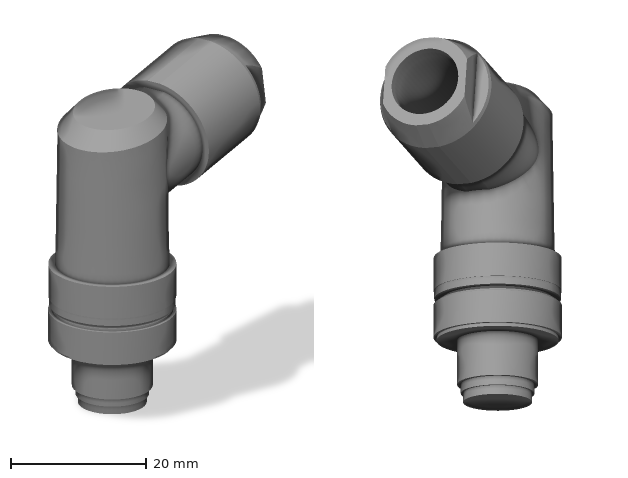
import cadquery as cq
import math

core_radius = 5.1
core_top = 1.35
insert_radius = 5.45
insert_top = 2.7
sleeve_radius = 6.0
sleeve_top = 9.4
hub_radius = 9.05
rim_radius = 19.0 / 2
rim_bottom = 9.9
rim_top = 14.75
coupling_top = 15.15
seal_bottom_radius = 8.4
seal_top_radius = 8.2
seal_top = 15.75
collar_step_radius = 9.4
collar_step_top = 16.95
collar_radius = 9.5
collar_top = 22.0

tilt = 10
post_bottom_radius = 8.5
post_draft = 0.9
chamfer_bottom_height = 44.15
top_face_radius = 6.1
top_face_height = 46.4
top_face_offset = 0.45
arm_axis_height = 36.5
arm_radius = 7.65
arm_flat_width = 3.55

nut_start = 12.55
nut_shoulder = 26.15
nut_end = 30.75
nut_radius = 8.8
nut_flat_width = 2.2
nut_end_radius = 7.1
nut_bore_radius = 5.25
wrench_flat_start = nut_shoulder + 0.6
wrench_half_width = 6.45


def disc(radius, bottom, top):
    """Upright cylinder on the Z axis."""
    return cq.Workplane("XY").workplane(offset=bottom).circle(radius).extrude(top - bottom)


def cone(bottom_radius, top_radius, bottom, top):
    """Upright truncated cone on the Z axis."""
    return cq.Workplane(cq.Solid.makeCone(bottom_radius, top_radius, top - bottom, cq.Vector(0, 0, bottom)))


def arm_plane(distance):
    """Plane square to the arm axis; its local X is the part's X."""
    angle = math.radians(tilt)
    direction = cq.Vector(0, math.cos(angle), math.sin(angle))
    origin = cq.Vector(0, 0, arm_axis_height) + direction * distance
    return cq.Workplane(cq.Plane(origin, xDir=(1, 0, 0), normal=direction))


def flatted_circle(plane, radius, flat_width):
    """Circle cut by two flats of the given width, above and below its centre."""
    half_flat = flat_width / 2
    half_height = math.sqrt(radius**2 - half_flat**2)
    return (
        plane.moveTo(-half_flat, half_height)
        .lineTo(half_flat, half_height)
        .threePointArc((radius, 0), (half_flat, -half_height))
        .lineTo(-half_flat, -half_height)
        .threePointArc((-radius, 0), (-half_flat, half_height))
        .close()
    )


def sloping_plane(offset, height):
    """Plane that rises toward +Y by the tilt angle."""
    angle = math.radians(tilt)
    normal = (0, -math.sin(angle), math.cos(angle))
    return cq.Plane((0, offset, height), xDir=(1, 0, 0), normal=normal)


def make_insert():
    return disc(core_radius, 0, core_top).union(disc(insert_radius, core_top, insert_top))


def make_sleeve():
    return disc(sleeve_radius, insert_top, sleeve_top)


def make_coupling_ring():
    return disc(hub_radius, sleeve_top, coupling_top).union(disc(rim_radius, rim_bottom, rim_top))


def make_seal():
    return cone(seal_bottom_radius, seal_top_radius, coupling_top, seal_top)


def make_collar():
    step = disc(collar_step_radius, seal_top, collar_step_top)
    return step.union(disc(collar_radius, collar_step_top, collar_top))


def make_post():
    blank_height = top_face_height - collar_top
    blank_top_radius = post_bottom_radius - blank_height * math.tan(math.radians(post_draft))
    blank = cone(post_bottom_radius, blank_top_radius, collar_top, top_face_height)
    cut_radius = 2 * post_bottom_radius
    cutter = cq.Workplane(sloping_plane(0, chamfer_bottom_height)).circle(cut_radius).extrude(blank_height)
    post = blank.cut(cutter)
    lower_edge = post.faces(">Z").wires().val()
    top_plane = sloping_plane(top_face_offset, top_face_height)
    upper_edge = cq.Workplane(top_plane).circle(top_face_radius).wires().val()
    return post.union(cq.Workplane(cq.Solid.makeLoft([lower_edge, upper_edge], True)))


def make_elbow():
    arm = flatted_circle(arm_plane(0), arm_radius, arm_flat_width).extrude(nut_start)
    return make_post().union(arm)


def make_gland_nut():
    barrel_length = nut_shoulder - nut_start
    taper_length = nut_end - nut_shoulder
    taper_angle = math.degrees(math.atan2(nut_radius - nut_end_radius, taper_length))
    barrel = flatted_circle(arm_plane(nut_start), nut_radius, nut_flat_width).extrude(barrel_length)
    nose = flatted_circle(arm_plane(nut_shoulder), nut_radius, nut_flat_width)
    nut = barrel.union(nose.extrude(taper_length, taper=taper_angle))
    side_depth = nut_radius - wrench_half_width
    for side in (-1, 1):
        flat = arm_plane(wrench_flat_start).center(side * (wrench_half_width + side_depth / 2), 0)
        nut = nut.cut(flat.rect(side_depth, 2 * nut_radius).extrude(nut_end - wrench_flat_start))
    return nut.cut(arm_plane(nut_start).circle(nut_bore_radius).extrude(nut_end - nut_start))


insert = make_insert()
sleeve = make_sleeve()
coupling_ring = make_coupling_ring()
seal = make_seal()
collar = make_collar()
elbow = make_elbow()
gland_nut = make_gland_nut()

bodies = [insert, sleeve, coupling_ring, seal, collar, elbow, gland_nut]
result = cq.Compound.makeCompound([body.solids().val() for body in bodies])